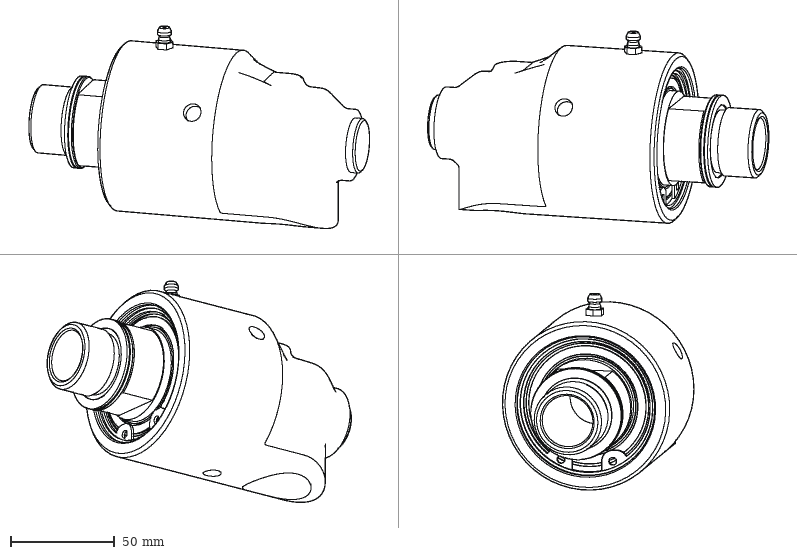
import cadquery as cq
import math

LENGTH = 163.6

thread_r = 33.2 / 2
thread_end = 16.7
thread_chamfer = 1.5
neck_r = 15.2
neck_blend = 3.3
bore_r = 25.0 / 2
bore_chamfer = 0.8
bore_depth = 65.5
flange_r = 44.7 / 2
flange_start = 20.1
flange_end = 23.5
flange_chamfer = 0.5
flange_groove_x = 22.0
flange_groove_size = 0.3
face_recess_r = 35.3 / 2
face_recess_depth = 0.7
flat_half_height = 17.8
flat_start = 24.0
flat_end = 42.2
collar_r = 22.9

body_r = 82.6 / 2
body_start = 42.0
body_chamfer = 1.6
body_end = 100.0
waist_start = 117.8
waist_start_r = 27.0
waist_end = 142.2
waist_end_r = 26.2
cap_start = 153.0
cap_r = 34.8 / 2
cap_end = 159.0
cap_edge_round = 0.3
spigot_r = 13.3
spigot_chamfer = 1.0
waist_blend = 12.3
shoulder_blend = 5.5

recess_r = 68.0 / 2
recess_chamfer = 0.7
recess_step_x = 44.2
ring_seat_r = 32.7
ring_inner_r = 31.2
ring_front_x = 45.2
floor_x = 46.5
cover_groove_outer_r = 30.3
cover_groove_inner_r = 57.9 / 2
cover_groove_depth = 0.8
shaft_gap_outer_r = 49.7 / 2
shaft_gap_inner_r = 47.8 / 2
shaft_gap_depth = 1.3
lug_y = 12.8
lug_z = -27.0
lug_r = 5.4
lug_spread = 2.1
lug_hole_r = 3.8 / 2

set_hole_x = 88.5
set_hole_r = 8.7 / 2
set_hole_depth = 4.9
set_hole_angles = (-90, 30, 150)

cone_slope = (body_r - waist_start_r) / (waist_start - body_end)
cone_front_r = body_r + cone_slope * (body_end - body_start)

foot_center_x = 123.8
foot_half_width = 26.5
foot_fillet = 1.8
port_x = 127.6
port_r = 33.2 / 2
port_depth = 19.6
pad_z = 31.0
pad_half_width = 9.5
pad_center_x = 124.2
pad_flat_start = 116.5
pad_ramp_start = 103.0
pad_ramp_z = 36.0
pad_edge_fillet = 1.5
pad_base_fillet = 4.7

nipple_x = 63.8
hex_diameter = 8.7
hex_top_z = 44.2
nipple_top_z = 51.29
nipple_root = 1.0
nipple_waist_z = 46.8
nipple_head_z = 49.4
nipple_taper = 1.5
nipple_base_r = 3.0
nipple_waist_r = 2.5
nipple_head_r = 3.5
nipple_tip_r = 2.5
nipple_hole_r = 0.74
nipple_hole_depth = 1.6


def revolve_x(profile):
    """Solid of revolution about X, its seam on top, from a closed XZ profile."""
    return profile.close().revolve(360, (0, 0, 0), (1, 0, 0))


def blend_corner(profile, before, corner, after, radius):
    """Draw a line towards a corner and round it with an arc tangent to both sides."""
    to_before = cq.Vector(*before) - cq.Vector(*corner)
    to_after = cq.Vector(*after) - cq.Vector(*corner)
    half_angle = to_before.getAngle(to_after) / 2
    tangent_length = radius / math.tan(half_angle)
    bisector = (to_before.normalized() + to_after.normalized()).normalized()
    vertex = cq.Vector(*corner)
    start = vertex + to_before.normalized() * tangent_length
    middle = vertex + bisector * (radius / math.sin(half_angle) - radius)
    end = vertex + to_after.normalized() * tangent_length
    return (
        profile.lineTo(start.x, start.y)
        .threePointArc((middle.x, middle.y), (end.x, end.y))
    )


def disc(x_from, x_to, radius):
    return cq.Workplane("YZ").workplane(offset=x_from).circle(radius).extrude(x_to - x_from)


def tube(x_from, x_to, outer, inner):
    return disc(x_from, x_to, outer).cut(disc(x_from, x_to, inner))


def make_rear_blank():
    """Tapered rear end, its cone carried forward past the body radius."""
    cone_corner = (body_start, cone_front_r)
    waist_corner = (waist_start, waist_start_r)
    shoulder_corner = (waist_end, waist_end_r)
    cap_corner = (cap_start, cap_r)
    cap_face_corner = (cap_end, cap_r)
    spigot_corner = (cap_end, spigot_r)
    profile = cq.Workplane("XZ").moveTo(body_start, 0).lineTo(*cone_corner)
    profile = blend_corner(profile, cone_corner, waist_corner, shoulder_corner, waist_blend)
    profile = blend_corner(profile, waist_corner, shoulder_corner, cap_corner, shoulder_blend)
    profile = blend_corner(profile, shoulder_corner, cap_corner, cap_face_corner, shoulder_blend)
    profile = blend_corner(profile, cap_corner, cap_face_corner, spigot_corner, cap_edge_round)
    profile = (
        profile.lineTo(*spigot_corner)
        .lineTo(LENGTH - spigot_chamfer, spigot_r)
        .lineTo(LENGTH, spigot_r - spigot_chamfer)
        .lineTo(LENGTH, 0)
    )
    return revolve_x(profile)


def make_foot():
    return (
        cq.Workplane("XY")
        .moveTo(body_start, -foot_half_width)
        .lineTo(foot_center_x, -foot_half_width)
        .threePointArc((foot_center_x + foot_half_width, 0), (foot_center_x, foot_half_width))
        .lineTo(body_start, foot_half_width)
        .close()
        .extrude(-cone_front_r)
    )


def make_pad():
    side = (
        cq.Workplane("XZ")
        .moveTo(pad_ramp_start, 0)
        .lineTo(pad_ramp_start, pad_ramp_z)
        .lineTo(pad_flat_start, pad_z)
        .lineTo(LENGTH, pad_z)
        .lineTo(LENGTH, 0)
        .close()
        .extrude(pad_half_width, both=True)
    )
    plan = (
        cq.Workplane("XY")
        .moveTo(pad_ramp_start, -pad_half_width)
        .lineTo(pad_center_x, -pad_half_width)
        .threePointArc((pad_center_x + pad_half_width, 0), (pad_center_x, pad_half_width))
        .lineTo(pad_ramp_start, pad_half_width)
        .close()
        .extrude(body_r)
    )
    pad = side.intersect(plan)
    return pad.faces("|Z").faces(">Z").edges("not |Y").fillet(pad_edge_fillet)


def is_on(edge, solid):
    """True when sample points along an edge all lie on the surface of a solid."""
    points = [edge.positionAt(fraction) for fraction in (0.3, 0.5, 0.8)]
    shell = solid.val().Shells()[0]
    return all(shell.distance(cq.Vertex.makeVertex(*point.toTuple())) < 0.002 for point in points)


def join_with_fillet(base, addition, radius):
    """Fuse two solids and round the inside corner where their surfaces meet."""
    joined = base.union(addition)
    seam = [edge for edge in joined.edges().vals() if is_on(edge, base) and is_on(edge, addition)]
    return joined.newObject(seam).fillet(radius)


def make_housing():
    """Cylinder, tapered rear, foot and pad as one solid, with the port drilled in the foot."""
    housing = join_with_fillet(make_rear_blank(), make_foot(), foot_fillet)
    housing = join_with_fillet(housing, make_pad(), pad_base_fillet)
    envelope = revolve_x(
        cq.Workplane("XZ")
        .moveTo(body_start, 0)
        .lineTo(body_start, body_r - body_chamfer)
        .lineTo(body_start + body_chamfer, body_r)
        .lineTo(LENGTH, body_r)
        .lineTo(LENGTH, 0)
    )
    port = cq.Workplane("XY").workplane(offset=-body_r).center(port_x, 0).circle(port_r).extrude(port_depth)
    return housing.intersect(envelope).cut(port)


def make_recess():
    """Stepped recess in the front face, with its ring seat and cover grooves."""
    recess = revolve_x(
        cq.Workplane("XZ")
        .moveTo(body_start, 0)
        .lineTo(body_start, recess_r + recess_chamfer)
        .lineTo(body_start + recess_chamfer, recess_r)
        .lineTo(recess_step_x, recess_r)
        .lineTo(recess_step_x, ring_seat_r)
        .lineTo(floor_x, ring_seat_r)
        .lineTo(floor_x, 0)
    )
    cover_groove = tube(floor_x, floor_x + cover_groove_depth, cover_groove_outer_r, cover_groove_inner_r)
    shaft_gap = tube(floor_x, floor_x + shaft_gap_depth, shaft_gap_outer_r, shaft_gap_inner_r)
    return recess.union(cover_groove).union(shaft_gap)


def make_retaining_ring():
    """Internal snap ring, open between two drilled lugs at the bottom."""
    thickness = floor_x - ring_front_x
    seat = disc(ring_front_x, floor_x, ring_seat_r)
    plane = cq.Workplane("YZ").workplane(offset=ring_front_x)
    gap_half_width = lug_y - lug_r
    gap = plane.center(0, -ring_seat_r).rect(2 * gap_half_width, 2 * lug_r).extrude(thickness)
    ring = tube(ring_front_x, floor_x, ring_seat_r, ring_inner_r).cut(gap)
    for side in (-1, 1):
        lug = plane.center(side * lug_y, lug_z).circle(lug_r).extrude(thickness)
        skirt = plane.center(side * lug_y, lug_z - lug_r).rect(2 * lug_r, 2 * lug_r).extrude(thickness)
        hole = plane.center(side * lug_y, lug_z).circle(lug_hole_r).extrude(thickness)
        spread = lug.translate((0, side * lug_spread, 0))
        ring = ring.union(lug.union(spread).union(skirt).intersect(seat)).cut(hole)
    return ring


def make_shaft():
    groove_start = flange_groove_x - flange_groove_size / 2
    groove_end = flange_groove_x + flange_groove_size / 2
    recess_floor_x = flange_start + face_recess_depth
    thread_corner = (thread_end, thread_r)
    neck_corner = (thread_end + thread_r - neck_r, neck_r)
    neck_end = (recess_floor_x, neck_r)
    profile = (
        cq.Workplane("XZ")
        .moveTo(0, 0)
        .lineTo(0, thread_r - thread_chamfer)
        .lineTo(thread_chamfer, thread_r)
        .lineTo(*thread_corner)
    )
    profile = blend_corner(profile, thread_corner, neck_corner, neck_end, neck_blend)
    shaft = revolve_x(
        profile.lineTo(*neck_end)
        .lineTo(recess_floor_x, face_recess_r)
        .lineTo(flange_start, face_recess_r)
        .lineTo(flange_start, flange_r)
        .lineTo(groove_start, flange_r)
        .lineTo(groove_start, flange_r - flange_groove_size)
        .lineTo(groove_end, flange_r - flange_groove_size)
        .lineTo(groove_end, flange_r)
        .lineTo(flange_end, flange_r)
        .lineTo(flange_end + flange_chamfer, flange_r - flange_chamfer)
        .lineTo(flange_end + 2 * flange_chamfer, flange_r)
        .lineTo(flat_end, flange_r)
        .lineTo(flat_end, collar_r)
        .lineTo(floor_x + shaft_gap_depth, collar_r)
        .lineTo(floor_x + shaft_gap_depth, 0)
    )
    flat_length = flat_end - flat_start
    for side in (-1, 1):
        flat_cut = cq.Workplane("XY").box(flat_length, 2 * flange_r, flange_r, centered=(False, True, True))
        shaft = shaft.cut(flat_cut.translate((flat_start, 0, side * (flat_half_height + flange_r / 2))))
    return shaft


def make_shaft_bore():
    return revolve_x(
        cq.Workplane("XZ")
        .moveTo(0, 0)
        .lineTo(0, bore_r + bore_chamfer)
        .lineTo(bore_chamfer, bore_r)
        .lineTo(bore_depth, bore_r)
        .lineTo(bore_depth, 0)
    )


def make_set_hole(angle):
    """Blind radial hole at an angle measured from +Y towards +Z."""
    bottom_r = body_r - set_hole_depth
    drill = cq.Workplane("XY").workplane(offset=bottom_r).circle(set_hole_r).extrude(2 * set_hole_depth)
    return drill.rotate((0, 0, 0), (1, 0, 0), angle - 90).translate((set_hole_x, 0, 0))


def make_nipple():
    hexagon = (
        cq.Workplane("XY")
        .workplane(offset=body_r - nipple_root)
        .polygon(6, hex_diameter)
        .extrude(hex_top_z - body_r + nipple_root)
    )
    head = (
        cq.Workplane("XZ")
        .moveTo(0, hex_top_z)
        .lineTo(nipple_base_r, hex_top_z)
        .lineTo(nipple_base_r, nipple_waist_z - nipple_taper)
        .lineTo(nipple_waist_r, nipple_waist_z)
        .lineTo(nipple_head_r, nipple_head_z - nipple_taper)
        .lineTo(nipple_head_r, nipple_head_z)
        .lineTo(nipple_tip_r, nipple_top_z)
        .lineTo(nipple_hole_r, nipple_top_z)
        .lineTo(nipple_hole_r, nipple_top_z - nipple_hole_depth)
        .lineTo(0, nipple_top_z - nipple_hole_depth)
        .close()
        .revolve(360, (0, 0, 0), (0, 1, 0))
    )
    return hexagon.union(head).translate((nipple_x, 0, 0))


result = (
    make_housing()
    .cut(make_recess())
    .union(make_retaining_ring())
    .union(make_shaft())
    .cut(make_shaft_bore())
)
for hole_angle in set_hole_angles:
    result = result.cut(make_set_hole(hole_angle))
result = result.union(make_nipple())